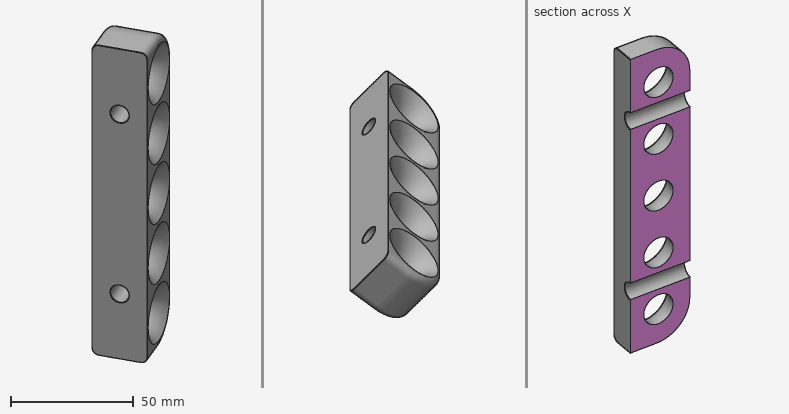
import cadquery as cq

width = 24.0
depth = 29.5
height = 145.0
end_radius = 16.5
edge_radius = 3.0
back_chamfer = 0.2

bore_count = 5
bore_pitch = 28.0
bore_y = 13.9
throat_diameter = 14.0
mouth_diameter = 26.1

mount_diameter = 8.0
mount_z = 1.5 * bore_pitch


def make_body():
    """Bar with two large rounded front corners and softened side edges."""
    body = cq.Workplane("XY").box(width, depth, height, centered=(True, False, True))
    body = body.faces(">Y").edges("|X").fillet(end_radius)
    return body.edges("(<X or >X) and (not <Y)").fillet(edge_radius)


def make_flared_bore():
    """Hourglass about X: one arc from mouth to mouth, narrowest at mid-width."""
    half = width / 2
    throat = throat_diameter / 2
    mouth = mouth_diameter / 2
    profile = (
        cq.Workplane("XY")
        .moveTo(-half, 0)
        .lineTo(-half, mouth)
        .threePointArc((0, throat), (half, mouth))
        .lineTo(half, 0)
        .close()
    )
    return profile.revolve(360, (0, 0, 0), (1, 0, 0))


def make_mount_hole(z):
    """Cylinder through the full depth of the bar."""
    return cq.Workplane("XZ", origin=(0, 0, z)).circle(mount_diameter / 2).extrude(-depth)


result = make_body()
flared_bore = make_flared_bore()
for index in range(bore_count):
    bore_z = (index - (bore_count - 1) / 2) * bore_pitch
    result = result.cut(flared_bore.translate((0, bore_y, bore_z)))
for z in (-mount_z, mount_z):
    result = result.cut(make_mount_hole(z))
result = result.faces("<Y").chamfer(back_chamfer)